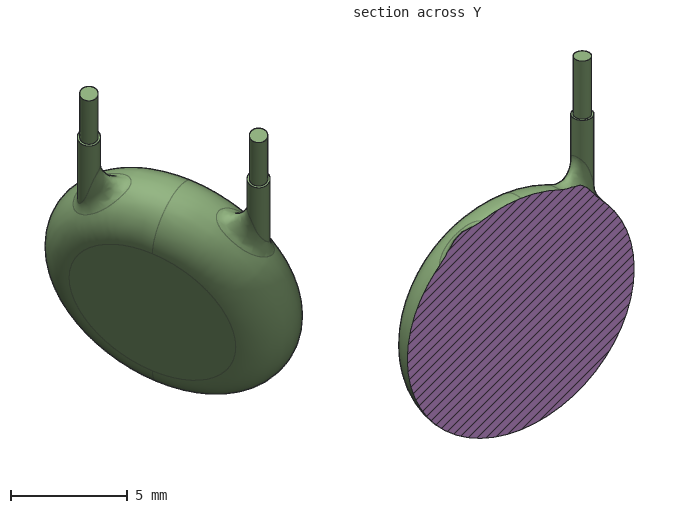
import cadquery as cq

body_diameter = 12.0
body_thickness = 3.9

lead_pitch = 7.5
lead_stagger = 1.4
wire_diameter = 0.8
wire_top = 11.5
sleeve_diameter = 1.0
sleeve_top = 8.5
sleeve_root = 3.0
root_fillet = 1.0

body_radius = body_diameter / 2
half_thickness = body_thickness / 2
face_radius = body_radius - half_thickness


def make_core():
    """Flat-faced disc that the rounded rim wraps around."""
    return cq.Workplane("XZ").circle(face_radius).extrude(half_thickness, both=True)


def make_half_rim():
    """Revolve the semicircular rim section by half a turn about Y, filling the -X side."""
    section = (
        cq.Workplane("YZ")
        .moveTo(-half_thickness, -face_radius)
        .threePointArc((0, -body_radius), (half_thickness, -face_radius))
        .close()
    )
    return section.revolve(180, (0, 0, 0), (1, 0, 0))


def make_post(diameter, bottom, top):
    """Vertical cylinder on the axis of the -X lead."""
    base_centre = (-lead_pitch / 2, -lead_stagger / 2, bottom)
    return cq.Workplane("XY", origin=base_centre).circle(diameter / 2).extrude(top - bottom)


def fillet_sleeve_root(part):
    """Blend the closed curve where the sleeve leaves the rounded rim."""
    return part.edges("%BSPLINE").fillet(root_fillet)


def make_half_rim_with_lead():
    """The -X half of the rim with its filleted sleeve and bare wire end."""
    sleeve = make_post(sleeve_diameter, sleeve_root, sleeve_top)
    wire = make_post(wire_diameter, sleeve_top, wire_top)
    return fillet_sleeve_root(make_half_rim().union(sleeve)).union(wire)


half_rim = make_half_rim_with_lead()
other_half_rim = half_rim.rotate((0, 0, 0), (0, 0, 1), 180)
result = make_core().union(half_rim, clean=False).union(other_half_rim, clean=False)